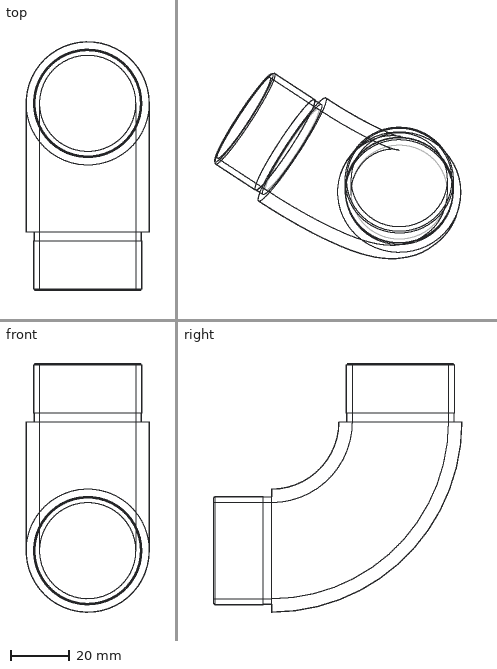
import cadquery as cq

overall_length = 85.5
body_diameter = 42.4
bore_diameter = 33.1

spigot_diameter = 37.3
spigot_length = 20.0
neck_diameter = 36.9
neck_length = 3.0
end_chamfer = 0.5

bend_angle = 90
bend_radius = overall_length - spigot_length - body_diameter / 2


def bent_rod(diameter):
    """Quarter torus from the upward-facing end (+Y side) to the end facing -Y."""
    return (
        cq.Workplane("XY")
        .center(0, bend_radius)
        .circle(diameter / 2)
        .revolve(bend_angle, (0, -bend_radius, 0), (-1, -bend_radius, 0))
    )


def rod(end_plane, diameter, length):
    """Straight cylinder growing outward from one end of the bend."""
    return cq.Workplane(end_plane).circle(diameter / 2).extrude(length)


def spigot(end_plane):
    """Chamfered spigot with a slightly reduced neck next to the body."""
    sleeve_plane = cq.Workplane(end_plane).workplane(offset=neck_length).plane
    sleeve = rod(sleeve_plane, spigot_diameter, spigot_length - neck_length)
    sleeve = sleeve.faces(cq.selectors.DirectionMinMaxSelector(end_plane.zDir)).chamfer(end_chamfer)
    return rod(end_plane, neck_diameter, neck_length).union(sleeve)


end_planes = [
    cq.Plane(origin=(0, bend_radius, 0), xDir=(1, 0, 0), normal=(0, 0, 1)),
    cq.Plane(origin=(0, 0, -bend_radius), xDir=(1, 0, 0), normal=(0, -1, 0)),
]

elbow = bent_rod(body_diameter)
bore = bent_rod(bore_diameter)
for end_plane in end_planes:
    elbow = elbow.union(spigot(end_plane))
    bore = bore.union(rod(end_plane, bore_diameter, spigot_length))

result = elbow.cut(bore)